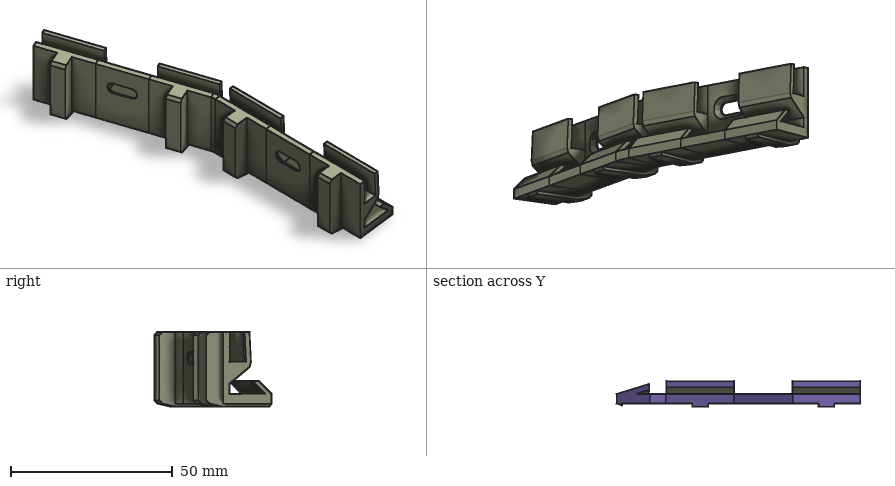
import cadquery as cq

BEND_ANGLE = 18.0
BEND_INNER_RADIUS = 5.0
CLIP_LENGTH = 21.0
BRIDGE_LENGTH = 18.0
ARM_LENGTH = 2 * CLIP_LENGTH + BRIDGE_LENGTH

HEIGHT = 22.13
DEPTH = 15.0
PLATE_THICKNESS = 2.0
FLOOR_THICKNESS = 3.0

LIP_RISE = 4.0
LIP_WIDTH = 2.0

BRACKET_ROOT_BOTTOM = 6.1
BRACKET_KNEE_Y = 8.2
BRACKET_KNEE_Z = 11.3
SLOT_FLOOR_Z = 12.9
WALL_FOOT_Y = 8.6
WALL_TOP_Y = 8.15
WALL_THICKNESS = 1.5

RIB_WIDTH = 5.0
RIB_DEPTH = 5.25
RIB_CHAMFER = 1.0
FOOT_DROP = 1.0
FOOT_END_CHAMFER = 0.8

SCREW_SLOT_LENGTH = 10.0
SCREW_SLOT_HEIGHT = 4.0
SCREW_SLOT_Z = 14.1
COUNTERSINK_DEPTH = 1.5
COUNTERSINK_SLOPE = 45.0


def l_section():
    """Closed outline of the plate and floor, in the YZ plane."""
    return [
        (0, 0),
        (DEPTH, 0),
        (DEPTH, FLOOR_THICKNESS),
        (PLATE_THICKNESS, FLOOR_THICKNESS),
        (PLATE_THICKNESS, HEIGHT),
        (0, HEIGHT),
    ]


def clip_section():
    """Closed outline of a clip: floor with lip, plate, and upper jaw, in the YZ plane."""
    lip_top = FLOOR_THICKNESS + LIP_RISE
    lip_rear = DEPTH - LIP_RISE
    return [
        (0, 0),
        (DEPTH, 0),
        (DEPTH, FLOOR_THICKNESS),
        (lip_rear, lip_top),
        (lip_rear - LIP_WIDTH, lip_top),
        (DEPTH - LIP_WIDTH, FLOOR_THICKNESS),
        (PLATE_THICKNESS, FLOOR_THICKNESS),
        (PLATE_THICKNESS, BRACKET_ROOT_BOTTOM),
        (BRACKET_KNEE_Y, BRACKET_KNEE_Z),
        (WALL_FOOT_Y, SLOT_FLOOR_Z),
        (WALL_TOP_Y, HEIGHT),
        (WALL_TOP_Y - WALL_THICKNESS, HEIGHT),
        (WALL_FOOT_Y - WALL_THICKNESS, SLOT_FLOOR_Z),
        (PLATE_THICKNESS, SLOT_FLOOR_Z),
        (PLATE_THICKNESS, HEIGHT),
        (0, HEIGHT),
    ]


def rib_section():
    """Closed outline of the rib and of its foot below the floor, in the YZ plane."""
    return [
        (0, HEIGHT),
        (RIB_CHAMFER - RIB_DEPTH, HEIGHT),
        (-RIB_DEPTH, HEIGHT - RIB_CHAMFER),
        (-RIB_DEPTH, RIB_CHAMFER),
        (RIB_CHAMFER - RIB_DEPTH, 0),
        (0, -FOOT_DROP),
        (DEPTH - FOOT_END_CHAMFER, -FOOT_DROP),
        (DEPTH, 0),
        (0, 0),
    ]


def extrude_along_x(section, start, length):
    return cq.Workplane("YZ").workplane(offset=start).polyline(section).close().extrude(length)


def make_clip(start):
    body = extrude_along_x(clip_section(), start, CLIP_LENGTH)
    rib_start = start + (CLIP_LENGTH - RIB_WIDTH) / 2
    return body.union(extrude_along_x(rib_section(), rib_start, RIB_WIDTH))


def slot_outline(start, front):
    """Screw slot outline centred on a bridge, in the plane Y = front."""
    return (
        cq.Workplane("XZ", origin=(start + BRIDGE_LENGTH / 2, front, SCREW_SLOT_Z))
        .slot2D(SCREW_SLOT_LENGTH, SCREW_SLOT_HEIGHT)
    )


def make_bridge(start):
    """Plain L segment with a screw slot, countersunk from the back of the plate."""
    body = extrude_along_x(l_section(), start, BRIDGE_LENGTH)
    screw_slot = slot_outline(start, 0).extrude(-PLATE_THICKNESS)
    countersink_front = PLATE_THICKNESS - COUNTERSINK_DEPTH
    countersink = slot_outline(start, countersink_front).extrude(
        -COUNTERSINK_DEPTH, taper=-COUNTERSINK_SLOPE
    )
    return body.cut(screw_slot).cut(countersink)


def make_corner():
    """L section swept about the bend axis, from the right arm round to the left arm."""
    return (
        cq.Workplane("YZ")
        .polyline(l_section())
        .close()
        .revolve(BEND_ANGLE, (-BEND_INNER_RADIUS, 0), (-BEND_INNER_RADIUS, 1))
    )


def to_left_arm(body):
    """Mirror a right-arm body and swing it round the bend axis."""
    bend_bottom = (0, -BEND_INNER_RADIUS, 0)
    bend_top = (0, -BEND_INNER_RADIUS, 1)
    return body.mirror("YZ").rotate(bend_bottom, bend_top, BEND_ANGLE)


bodies = [make_corner().val()]

for clip_start in (0, ARM_LENGTH - CLIP_LENGTH):
    clip = make_clip(clip_start)
    bodies.append(clip.val())
    bodies.append(to_left_arm(clip).val())

bridge = make_bridge(CLIP_LENGTH)
bodies.append(bridge.val())
bodies.append(to_left_arm(bridge).val())

result = cq.Compound.makeCompound(bodies)